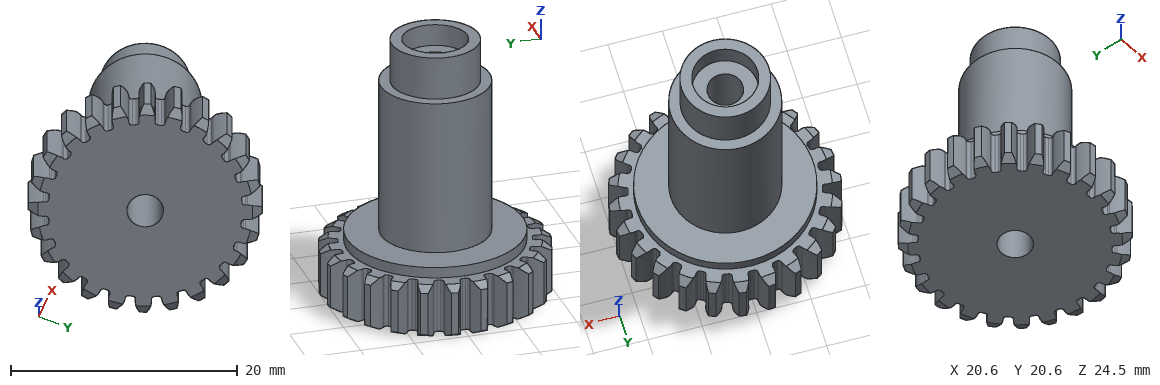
import cadquery as cq
import math

total_height = 24.5
gear_width = 5.0
flange_height = 1.0
post_height = 4.0
flange_diameter = 16.2
shaft_diameter = 10.0
post_diameter = 8.0
flange_top = gear_width + flange_height
shaft_top = total_height - post_height

bore_diameter = 3.2
counterbore_diameter = 5.9
counterbore_depth = 2.0

tooth_count = 24
pitch_radius = 9.6
tip_radius = 10.35
root_radius = 8.58
root_fillet = 0.3
pressure_angle = math.radians(20)
base_radius = pitch_radius * math.cos(pressure_angle)
tooth_pitch = 2 * math.pi / tooth_count
flank_steps = 4

chamfer_height = 0.5
chamfer_inner_radius = 9.48


def polar(radius, angle):
    return (radius * math.cos(angle), radius * math.sin(angle))


def involute(angle):
    return math.tan(angle) - angle


def half_tooth_angle(radius):
    """Angle from the tooth centreline to its involute flank at a radius."""
    flank_angle = math.acos(base_radius / radius)
    return tooth_pitch / 4 + involute(pressure_angle) - involute(flank_angle)


def gear_blank():
    """Round blank with the tip chamfers at both ends."""
    return (
        cq.Workplane("XZ")
        .polyline([
            (0, 0),
            (chamfer_inner_radius, 0),
            (tip_radius, chamfer_height),
            (tip_radius, gear_width - chamfer_height),
            (chamfer_inner_radius, gear_width),
            (0, gear_width),
        ])
        .close()
        .revolve(360, (0, 0), (0, 1))
    )


def toothed_prism():
    """Gear outline: involute flanks, radial below the base circle, filleted at the root."""
    radial_step = (tip_radius - base_radius) / flank_steps
    flank_radii = [base_radius + i * radial_step for i in range(flank_steps + 1)]

    base_half = half_tooth_angle(base_radius)
    tip_half = half_tooth_angle(tip_radius)

    fillet_centre_radius = root_radius + root_fillet
    fillet_span = math.asin(root_fillet / fillet_centre_radius)
    fillet_half = base_half + fillet_span
    fillet_end_radius = fillet_centre_radius * math.cos(fillet_span)
    fillet_turn = (math.pi / 2 - fillet_span) / 2

    def fillet_middle(tooth_angle, side):
        centre_angle = tooth_angle + side * fillet_half
        centre = polar(fillet_centre_radius, centre_angle)
        offset = polar(root_fillet, centre_angle + math.pi + side * fillet_turn)
        return (centre[0] + offset[0], centre[1] + offset[1])

    first_tooth = tooth_pitch / 2
    outline = cq.Workplane("XY").moveTo(*polar(root_radius, first_tooth - fillet_half))
    for tooth in range(tooth_count):
        angle = first_tooth + tooth * tooth_pitch
        rising = [polar(r, angle - half_tooth_angle(r)) for r in flank_radii]
        falling = [polar(r, angle + half_tooth_angle(r)) for r in reversed(flank_radii)]
        next_gap = angle + tooth_pitch / 2
        outline = (
            outline
            .threePointArc(fillet_middle(angle, -1), polar(fillet_end_radius, angle - base_half))
            .lineTo(*rising[0])
            .spline(rising[1:], includeCurrent=True)
            .threePointArc(polar(tip_radius, angle), polar(tip_radius, angle + tip_half))
            .spline(falling[1:], includeCurrent=True)
            .lineTo(*polar(fillet_end_radius, angle + base_half))
            .threePointArc(fillet_middle(angle, 1), polar(root_radius, angle + fillet_half))
            .threePointArc(
                polar(root_radius, next_gap),
                polar(root_radius, angle + tooth_pitch - fillet_half),
            )
        )
    return outline.close().extrude(gear_width)


def cylinder(diameter, bottom, top):
    return cq.Workplane("XY").workplane(offset=bottom).circle(diameter / 2).extrude(top - bottom)


gear = toothed_prism().intersect(gear_blank())
flange = cylinder(flange_diameter, gear_width, flange_top)
shaft = cylinder(shaft_diameter, flange_top, shaft_top)
post = cylinder(post_diameter, shaft_top, total_height)
bore = cylinder(bore_diameter, 0, total_height)
counterbore = cylinder(counterbore_diameter, total_height - counterbore_depth, total_height)

result = gear.union(flange).union(shaft).union(post).cut(bore).cut(counterbore)